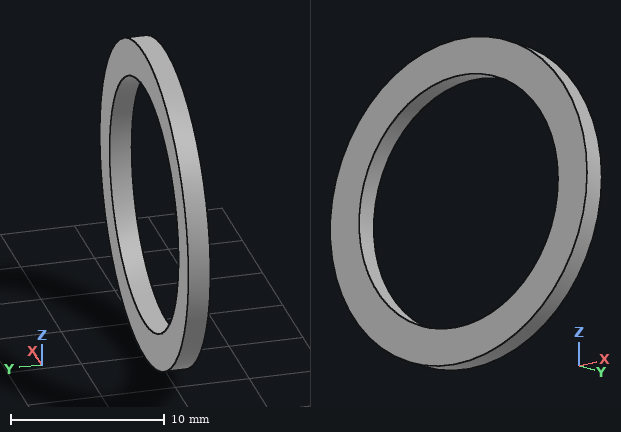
import cadquery as cq

outer_diameter = 22.0
bore_diameter = 17.0
thickness = 1.5

result = (
    cq.Workplane("XZ", origin=(0, thickness / 2, 0))
    .circle(outer_diameter / 2)
    .circle(bore_diameter / 2)
    .extrude(thickness)
)